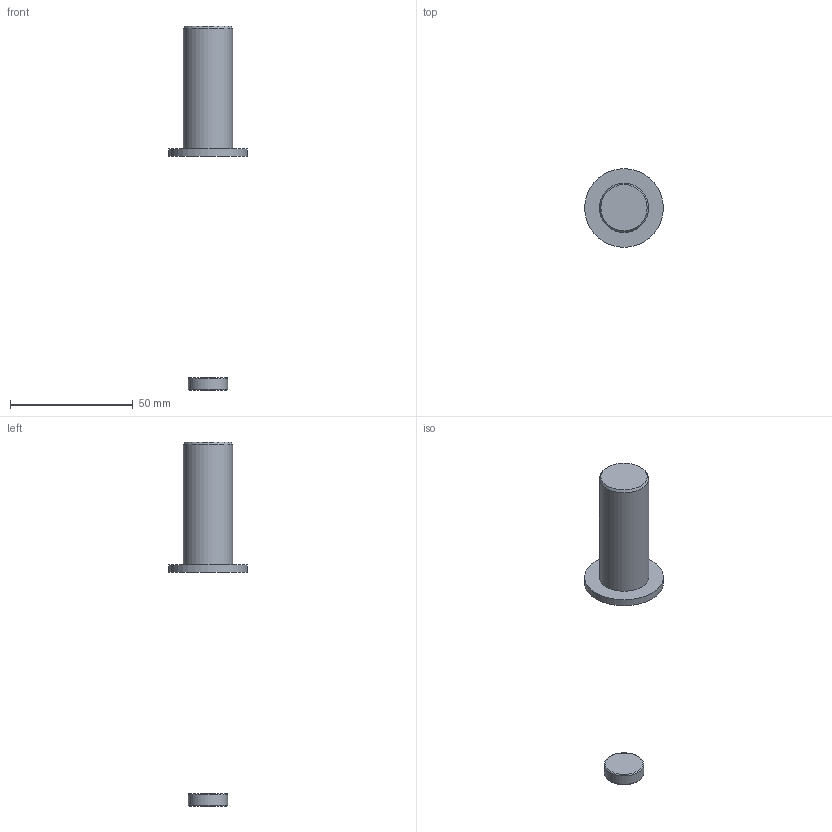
import math

import cadquery as cq

shank_radius = 10.0
shank_length = 50.0
shank_bevel_height = 1.0
shank_bevel_angle = 30.0
flange_radius = 16.0
flange_thickness = 3.0

disc_radius = 8.0
disc_thickness = 5.0
disc_rim_fillet = 0.4

overall_height = 148.0
pin_bottom_z = overall_height - shank_length - flange_thickness


def make_flanged_pin():
    """Round shank with a bevelled free end, standing on a thin flange."""
    pin_length = flange_thickness + shank_length
    bevel_width = shank_bevel_height * math.tan(math.radians(shank_bevel_angle))
    outline = [
        (0, 0),
        (flange_radius, 0),
        (flange_radius, flange_thickness),
        (shank_radius, flange_thickness),
        (shank_radius, pin_length - shank_bevel_height),
        (shank_radius - bevel_width, pin_length),
        (0, pin_length),
    ]
    pin = cq.Workplane("XZ").polyline(outline).close().revolve(360, (0, 0, 0), (0, 1, 0))
    return pin.translate((0, 0, pin_bottom_z))


def make_disc():
    """Short disc with both rims rounded."""
    blank = cq.Workplane("XY").circle(disc_radius).extrude(disc_thickness)
    return blank.faces("<Z or >Z").edges().fillet(disc_rim_fillet)


flanged_pin = make_flanged_pin()
disc = make_disc()

result = cq.Compound.makeCompound([flanged_pin.val(), disc.val()])